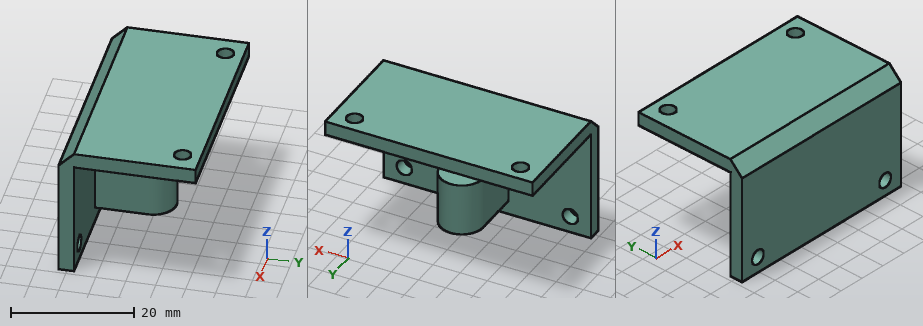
import cadquery as cq

length = 38.13
leg = 22.88
thickness = 2.6

hole_diameter = 2.8
hole_end_inset = 3.8
hole_edge_inset = 3.05

lug_radius = 3.93
lug_reach = 15.33
lug_bottom = thickness
lug_height = 9.57


def angle_profile():
    """L-shaped section in YZ with a bevelled outer corner, extruded along X."""
    return (
        cq.Workplane("YZ")
        .moveTo(0, 0)
        .lineTo(thickness, 0)
        .lineTo(thickness, leg - thickness)
        .lineTo(leg, leg - thickness)
        .lineTo(leg, leg)
        .lineTo(thickness, leg)
        .lineTo(0, leg - thickness)
        .close()
        .extrude(length)
    )


def lug():
    """Tab centred along the length, with a full round free end."""
    round_center_y = lug_reach - lug_radius
    center_x = length / 2
    left = center_x - lug_radius
    right = center_x + lug_radius
    root_y = thickness / 2
    return (
        cq.Workplane("XY", origin=(0, 0, lug_bottom))
        .moveTo(left, root_y)
        .lineTo(right, root_y)
        .lineTo(right, round_center_y)
        .threePointArc((center_x, lug_reach), (left, round_center_y))
        .close()
        .extrude(lug_height)
    )


def hole_pair(plane, across):
    """Two through-plate cutters at the given position across the plate."""
    ends = [(hole_end_inset, across), (length - hole_end_inset, across)]
    return (
        cq.Workplane(plane)
        .pushPoints(ends)
        .circle(hole_diameter / 2)
    )


upright_holes = hole_pair("XZ", hole_edge_inset).extrude(-thickness)
top_holes = (
    hole_pair("XY", leg - hole_edge_inset)
    .extrude(thickness)
    .translate((0, 0, leg - thickness))
)

result = angle_profile().union(lug()).cut(upright_holes).cut(top_holes)